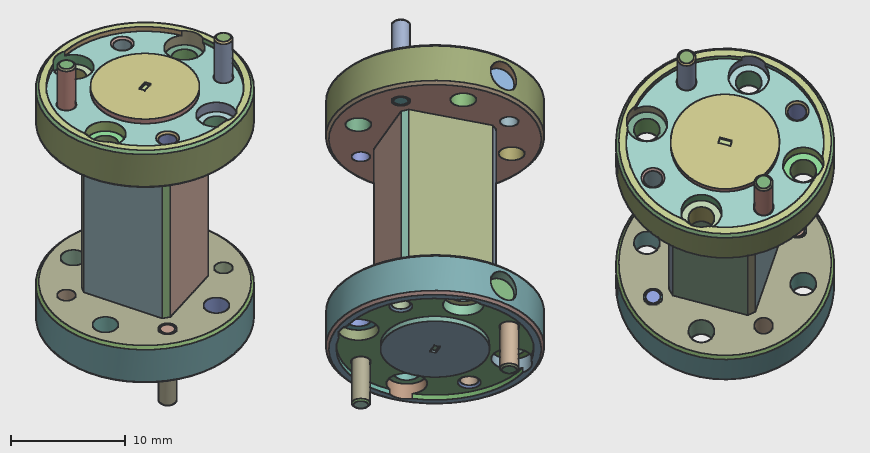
import cadquery as cq
import math

total_length = 33.15
flange_span = 25.4
flange_thickness = 4.05

flange_diameter = 19.05
edge_chamfer = 0.25
recess_diameter = 17.25
boss_diameter = 9.5
recess_depth = 0.5

body_width = 8.85
body_depth = 7.9
body_chamfer = 0.53

hole_circle_radius = 7.13
screw_hole_diameter = 2.25
counterbore_diameter = 3.55
counterbore_depth = 1.52

pin_diameter = 1.62
pin_end_chamfer = 0.15
pin_hole_chamfer = 0.05
socket_chamfer = 0.2

opening_width = 0.55
opening_height = 1.1
opening_depth = 0.23

side_hole_diameter = 2.72
side_hole_depth = 1.65
side_hole_offset = 3.08

outer_face = flange_span / 2
inner_face = outer_face - flange_thickness
recess_floor = outer_face - recess_depth
pin_length = total_length / 2 - inner_face
screw_angles = [0, 90, 180, 270]
upper_pin_angles = [45, 225]
lower_pin_angles = [135, 315]


def circle_point(angle):
    """Point on the hole circle at an angle from +X, in degrees."""
    turn = math.radians(angle)
    return hole_circle_radius * math.cos(turn), hole_circle_radius * math.sin(turn)


def cylinder(diameter, bottom, top, center=(0, 0)):
    """Upright cylinder between two heights."""
    return cq.Workplane("XY", origin=(*center, bottom)).circle(diameter / 2).extrude(top - bottom)


def countersink(center, chamfer):
    """Cone that breaks the edge of a dowel hole at the recess floor."""
    hole_mouth = cq.Workplane("XY", origin=(*center, recess_floor)).circle(pin_diameter / 2 + chamfer)
    return hole_mouth.workplane(offset=-chamfer).circle(pin_diameter / 2).loft()


def cut_screw_hole(flange, angle):
    center = circle_point(angle)
    flange = flange.cut(cylinder(screw_hole_diameter, inner_face, outer_face, center))
    return flange.cut(cylinder(counterbore_diameter, outer_face - counterbore_depth, outer_face, center))


def cut_dowel_hole(flange, angle, chamfer):
    center = circle_point(angle)
    flange = flange.cut(cylinder(pin_diameter, inner_face, outer_face, center))
    return flange.cut(countersink(center, chamfer))


def cut_side_hole(flange):
    mid_height = (inner_face + outer_face) / 2
    floor_center = cq.Vector(-side_hole_offset, flange_diameter / 2 - side_hole_depth, mid_height)
    drill = cq.Solid.makeCylinder(side_hole_diameter / 2, side_hole_depth, floor_center, cq.Vector(0, 1, 0))
    return flange.cut(cq.Workplane(drill))


def make_flange(pin_angles, socket_angles):
    """Flange at the upper end, facing +Z."""
    flange = cylinder(flange_diameter, inner_face, outer_face)
    flange = flange.faces("<Z or >Z").chamfer(edge_chamfer)
    recess = cylinder(recess_diameter, recess_floor, outer_face)
    flange = flange.cut(recess.cut(cylinder(boss_diameter, recess_floor, outer_face)))
    for angle in screw_angles:
        flange = cut_screw_hole(flange, angle)
    for angle in pin_angles:
        flange = cut_dowel_hole(flange, angle, pin_hole_chamfer)
    for angle in socket_angles:
        flange = cut_dowel_hole(flange, angle, socket_chamfer)
    opening = cq.Workplane("XY", origin=(0, 0, outer_face)).rect(opening_width, opening_height)
    flange = flange.cut(opening.extrude(-opening_depth))
    return cut_side_hole(flange)


def make_housing():
    """Chamfered block joined to a flange at each end."""
    body = cq.Workplane("XY").box(body_width, body_depth, 2 * inner_face)
    body = body.edges("|Z").chamfer(body_chamfer)
    upper_flange = make_flange(upper_pin_angles, lower_pin_angles)
    lower_flange = make_flange(lower_pin_angles, upper_pin_angles).mirror("XY")
    return body.union(upper_flange).union(lower_flange)


def make_pin(angle):
    """Dowel pin at the upper end, flush with the inner face of the flange."""
    pin = cylinder(pin_diameter, inner_face, inner_face + pin_length, circle_point(angle))
    return pin.faces("<Z or >Z").chamfer(pin_end_chamfer)


housing = make_housing()

pins = []
for angle in upper_pin_angles:
    pins.append(make_pin(angle).val())
for angle in lower_pin_angles:
    pins.append(make_pin(angle).mirror("XY").val())

result = cq.Compound.makeCompound([housing.val(), *pins])